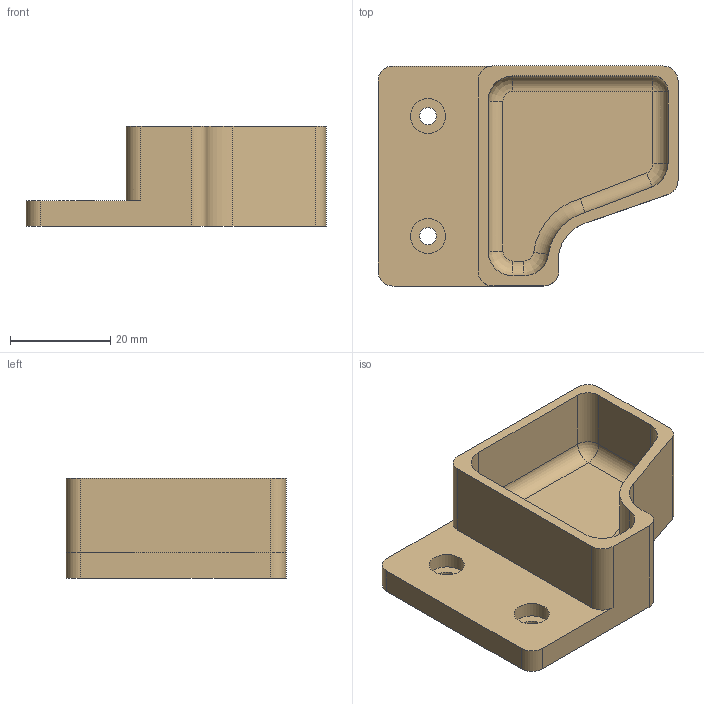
import cadquery as cq
import math

length = 60.0
width = 44.0
height = 20.0

flange_thickness = 5.0
flange_length = 20.0
outer_corner_radius = 3.0

hole_diameter = 3.4
counterbore_diameter = 7.0
counterbore_depth = 3.0
hole_x = flange_length / 2
hole_edge_distance = 10.0

wall = 2.0
floor_height = 5.0
floor_fillet = 3.0
pocket_corner_radius = 5.0
pocket_back_right_radius = 3.0

bend_center = (44.0, 5.0)
bend_radius = 8.0
outer_right_corner_y = 21.1
pocket_right_corner_y = 24.5


def polar(center, radius, angle):
    """Point at the given radius and angle (radians) from a centre."""
    return (center[0] + radius * math.cos(angle), center[1] + radius * math.sin(angle))


def outer_bend_end_x():
    """X where the outer slanted face, tangent to both arcs, leaves the concave bend."""
    dx = length - outer_corner_radius - bend_center[0]
    dy = outer_right_corner_y - bend_center[1]
    slant = math.atan2(dy, dx) - math.asin((bend_radius + outer_corner_radius) / math.hypot(dx, dy))
    return bend_center[0] - bend_radius * math.sin(slant)


def tray_outline(inset, corner, back_right_corner, right_corner_y):
    """Closed tray outline, inset from the outer faces, with an arc at every corner."""
    left = flange_length + inset
    right = length - inset
    front = inset
    back = width - inset
    concave = bend_radius + inset
    center_distance = corner + concave
    bend_end_x = outer_bend_end_x()

    front_y = front + corner
    front_x = bend_center[0] - math.sqrt(center_distance**2 - (bend_center[1] - front_y) ** 2)
    front_center = (front_x, front_y)
    junction_angle = math.atan2(bend_center[1] - front_y, bend_center[0] - front_x)

    bend_end_angle = math.acos((bend_end_x - bend_center[0]) / concave)
    bend_end = polar(bend_center, concave, bend_end_angle)
    right_center = (right - corner, right_corner_y)
    dx = right_center[0] - bend_end[0]
    dy = right_center[1] - bend_end[1]
    slant = math.atan2(dy, dx) - math.asin(corner / math.hypot(dx, dy))
    corner_start_angle = slant - math.pi / 2
    bend_mid_angle = (junction_angle + math.pi + bend_end_angle) / 2

    left_front_center = (left + corner, front + corner)
    left_back_center = (left + corner, back - corner)
    right_back_center = (right - back_right_corner, back - back_right_corner)

    return (
        cq.Workplane("XY")
        .moveTo(left + corner, front)
        .lineTo(front_x, front)
        .threePointArc(
            polar(front_center, corner, (junction_angle - math.pi / 2) / 2),
            polar(front_center, corner, junction_angle),
        )
        .threePointArc(
            polar(bend_center, concave, bend_mid_angle),
            bend_end,
        )
        .lineTo(*polar(right_center, corner, corner_start_angle))
        .threePointArc(
            polar(right_center, corner, corner_start_angle / 2),
            (right, right_corner_y),
        )
        .lineTo(right, back - back_right_corner)
        .threePointArc(
            polar(right_back_center, back_right_corner, math.pi / 4),
            (right - back_right_corner, back),
        )
        .lineTo(left + corner, back)
        .threePointArc(
            polar(left_back_center, corner, 3 * math.pi / 4),
            (left, back - corner),
        )
        .lineTo(left, front + corner)
        .threePointArc(
            polar(left_front_center, corner, 5 * math.pi / 4),
            (left + corner, front),
        )
        .close()
    )


def make_flange():
    """Plate on the left, running under the rounded left corners of the tray."""
    overlap = outer_corner_radius
    return (
        cq.Workplane("XY")
        .box(flange_length + overlap, width, flange_thickness, centered=False)
        .edges("|Z and <X")
        .fillet(outer_corner_radius)
    )


def make_tray_block():
    outline = tray_outline(0, outer_corner_radius, outer_corner_radius, outer_right_corner_y)
    return outline.extrude(height)


def make_pocket():
    """Volume of the pocket, with its bottom edge rounded."""
    outline = tray_outline(wall, pocket_corner_radius, pocket_back_right_radius, pocket_right_corner_y)
    pocket = outline.extrude(height - floor_height)
    pocket = pocket.faces("<Z").edges().fillet(floor_fillet)
    return pocket.translate((0, 0, floor_height))


def drill_screw_holes(body):
    hole_points = [(hole_x, hole_edge_distance), (hole_x, width - hole_edge_distance)]
    return (
        body.copyWorkplane(cq.Workplane("XY", origin=(0, 0, flange_thickness)))
        .pushPoints(hole_points)
        .cboreHole(hole_diameter, counterbore_diameter, counterbore_depth)
    )


flange_and_tray = make_flange().union(make_tray_block())
result = drill_screw_holes(flange_and_tray.cut(make_pocket()))